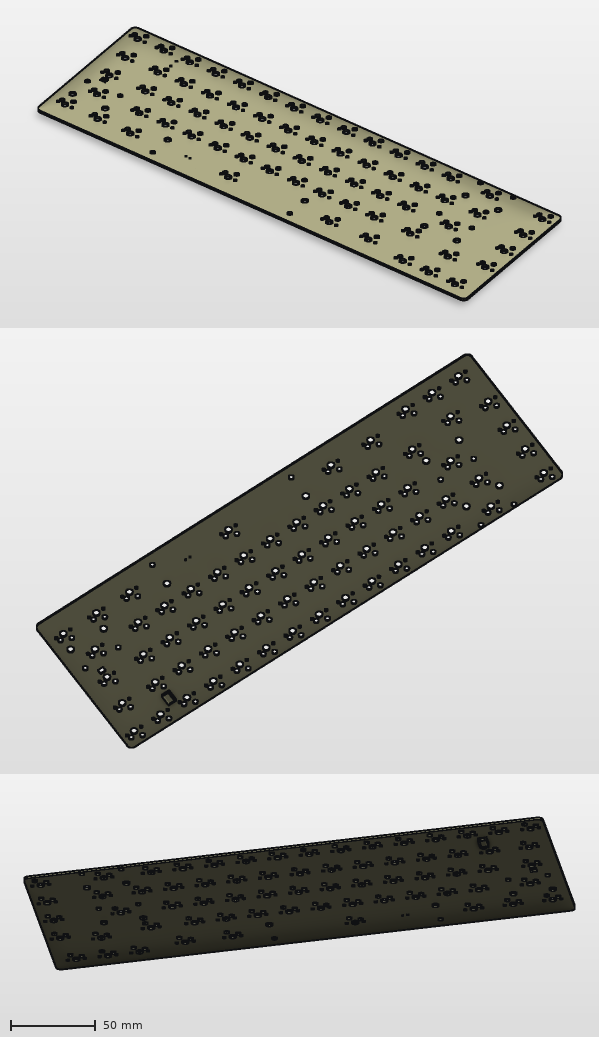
import cadquery as cq

SIXTEEN_KEYS = 304.8
KEY_UNIT = SIXTEEN_KEYS / 16
QUARTER_KEY = KEY_UNIT / 4

PLATE_LENGTH = 313.0
PLATE_WIDTH = 98.5
PLATE_THICKNESS = 1.5
TOTAL_HEIGHT = 4.5
CORNER_RADIUS = 3.0
TOP_ROW_MARGIN = 8.8
TOP_ROW_Y = PLATE_WIDTH / 2 - TOP_ROW_MARGIN

CENTRE_POST_DIAMETER = 4.0
SIDE_POST_DIAMETER = 1.75
SOCKET_DIAMETER = 3.0
SWITCH_GRID = KEY_UNIT * 2 / 15
SIDE_POST_OFFSET = 2 * SWITCH_GRID
LEFT_SOCKET = (-1.5 * SWITCH_GRID, SWITCH_GRID)
RIGHT_SOCKET = (SWITCH_GRID, 2 * SWITCH_GRID)

STABILIZER_CLIP_DIAMETER = 4.0
STABILIZER_SCREW_DIAMETER = 3.05
STABILIZER_CLIP_OFFSET = 8.0
STABILIZER_SCREW_OFFSET = 7.0
SHORT_STABILIZER_REACH = 12.0
SPACEBAR_STABILIZER_REACH = 50.0

WINDOW_LENGTH = 3.8
WINDOW_WIDTH = 3.0
WINDOW_OFFSET = 5.3

LEAD_HOLE_DIAMETER = 0.9
LEAD_HOLE_PITCH = 3.0
LEAD_HOLES_X = -56.5
LEAD_HOLES_Y = -34.0

CONNECTOR_Y = 33.8
CONNECTOR_HEIGHT = TOTAL_HEIGHT - PLATE_THICKNESS
CONNECTOR_MIDDLE_Z = -CONNECTOR_HEIGHT / 2
SHELL_FRONT_X = -119.2
SHELL_BACK_X = -115.2
SHELL_WIDTH = 7.2
SHELL_HEIGHT = 2.35
SHELL_WALL = 0.47
CAVITY_DEPTH = 3.0
LIP_LENGTH = 1.3
TONGUE_WIDTH = 4.0
TONGUE_THICKNESS = 0.5
PEG_X = -116.5
PEG_PITCH = 5.5
PEG_DIAMETER = 1.3

ROW_WIDTHS = [
    [4] * 13 + [8],
    [6] + [4] * 12 + [6],
    [7] + [4] * 11 + [9],
    [9] + [4] * 10 + [7],
    [5, 5, 5, 25, 6, 6],
]

LAYOUT_LENGTH = 66
LAST_COLUMN = 64
LAST_COLUMN_ROWS = range(4)
UP_ARROW = 59
UP_ARROW_ROW = 3
BOTTOM_ARROWS = [55, 59, 63]
BOTTOM_ARROW_ROW = 4
ARROW_DROP = QUARTER_KEY

BACKSPACE = (0, 13)
CAPS_LOCK = (2, 0)
ENTER = (2, 12)
LEFT_SHIFT = (3, 0)
SPACEBAR = (4, 3)


def key_x(quarters):
    return (quarters - LAYOUT_LENGTH / 2) * QUARTER_KEY


def row_y(row):
    return TOP_ROW_Y - row * KEY_UNIT


def key_centre(key):
    row, number = key
    widths = ROW_WIDTHS[row]
    return (key_x(sum(widths[:number]) + widths[number] / 2), row_y(row))


def switch_centres():
    centres = [
        key_centre((row, number)) for row, widths in enumerate(ROW_WIDTHS) for number in range(len(widths))
    ]
    centres += [(key_x(LAST_COLUMN), row_y(row)) for row in LAST_COLUMN_ROWS]
    centres.append((key_x(UP_ARROW), row_y(UP_ARROW_ROW) - ARROW_DROP))
    centres += [(key_x(arrow), row_y(BOTTOM_ARROW_ROW) - ARROW_DROP) for arrow in BOTTOM_ARROWS]
    return centres


def shifted(points, dx, dy):
    return [(x + dx, y + dy) for x, y in points]


def drill(body, points, diameter):
    tool = cq.Workplane("XY").pushPoints(points).circle(diameter / 2).extrude(PLATE_THICKNESS)
    return body.cut(tool)


def cut_switch_holes(body):
    centres = switch_centres()
    side_posts = shifted(centres, -SIDE_POST_OFFSET, 0) + shifted(centres, SIDE_POST_OFFSET, 0)
    sockets = shifted(centres, *LEFT_SOCKET) + shifted(centres, *RIGHT_SOCKET)
    body = drill(body, centres, CENTRE_POST_DIAMETER)
    body = drill(body, side_posts, SIDE_POST_DIAMETER)
    return drill(body, sockets, SOCKET_DIAMETER)


def cut_stabilizer_holes(body, key, reach, clip_side):
    """clip_side is -1 when the clip holes lie below the switch row, 1 when above it."""
    x, y = key_centre(key)
    sides = [(x - reach, y), (x + reach, y)]
    body = drill(body, shifted(sides, 0, clip_side * STABILIZER_CLIP_OFFSET), STABILIZER_CLIP_DIAMETER)
    return drill(body, shifted(sides, 0, -clip_side * STABILIZER_SCREW_OFFSET), STABILIZER_SCREW_DIAMETER)


def cut_indicator_window(body):
    x, y = key_centre(CAPS_LOCK)
    window = (
        cq.Workplane("XY")
        .center(x, y - WINDOW_OFFSET)
        .rect(WINDOW_LENGTH, WINDOW_WIDTH)
        .extrude(PLATE_THICKNESS)
    )
    return body.cut(window)


def cut_lead_holes(body):
    half_pitch = LEAD_HOLE_PITCH / 2
    leads = [(LEAD_HOLES_X - half_pitch, LEAD_HOLES_Y), (LEAD_HOLES_X + half_pitch, LEAD_HOLES_Y)]
    return drill(body, leads, LEAD_HOLE_DIAMETER)


def peg_centres():
    return [(PEG_X, CONNECTOR_Y - PEG_PITCH / 2), (PEG_X, CONNECTOR_Y + PEG_PITCH / 2)]


def make_plate():
    body = (
        cq.Workplane("XY")
        .rect(PLATE_LENGTH, PLATE_WIDTH)
        .extrude(PLATE_THICKNESS)
        .edges("|Z")
        .fillet(CORNER_RADIUS)
    )
    body = cut_switch_holes(body)
    for key in (BACKSPACE, ENTER, LEFT_SHIFT):
        body = cut_stabilizer_holes(body, key, SHORT_STABILIZER_REACH, -1)
    body = cut_stabilizer_holes(body, SPACEBAR, SPACEBAR_STABILIZER_REACH, 1)
    body = cut_indicator_window(body)
    body = cut_lead_holes(body)
    return drill(body, peg_centres(), PEG_DIAMETER)


def connector_block(front_x, back_x, width, height):
    middle_x = (front_x + back_x) / 2
    return cq.Workplane("XY").box(back_x - front_x, width, height).translate(
        (middle_x, CONNECTOR_Y, CONNECTOR_MIDDLE_Z)
    )


def make_lip(side):
    """Lip flared from the mouth of the shell: side is 1 for the upper lip, -1 for the lower one."""
    root = side * SHELL_HEIGHT / 2
    tip = side * CONNECTOR_HEIGHT / 2
    wall = side * SHELL_WALL
    profile = [(0, root - wall), (-LIP_LENGTH, tip - wall), (-LIP_LENGTH, tip), (0, root)]
    sketch = cq.Workplane("XZ", origin=(SHELL_FRONT_X, CONNECTOR_Y, CONNECTOR_MIDDLE_Z))
    return sketch.polyline(profile).close().extrude(SHELL_WIDTH / 2, both=True)


def make_pegs():
    root_z = CONNECTOR_MIDDLE_Z + SHELL_HEIGHT / 2
    pegs = cq.Workplane("XY", origin=(0, 0, root_z)).pushPoints(peg_centres())
    return pegs.circle(PEG_DIAMETER / 2).extrude(PLATE_THICKNESS - root_z)


def make_connector():
    cavity_back_x = SHELL_FRONT_X + CAVITY_DEPTH
    cavity_width = SHELL_WIDTH - 2 * SHELL_WALL
    cavity_height = SHELL_HEIGHT - 2 * SHELL_WALL
    shell = connector_block(SHELL_FRONT_X, SHELL_BACK_X, SHELL_WIDTH, SHELL_HEIGHT)
    cavity = connector_block(SHELL_FRONT_X, cavity_back_x, cavity_width, cavity_height)
    tongue = connector_block(SHELL_FRONT_X, cavity_back_x, TONGUE_WIDTH, TONGUE_THICKNESS)
    return shell.cut(cavity).union(tongue).union(make_lip(1)).union(make_lip(-1)).union(make_pegs())


plate = make_plate()
connector = make_connector()

result = cq.Compound.makeCompound([plate.solids().val(), connector.solids().val()])